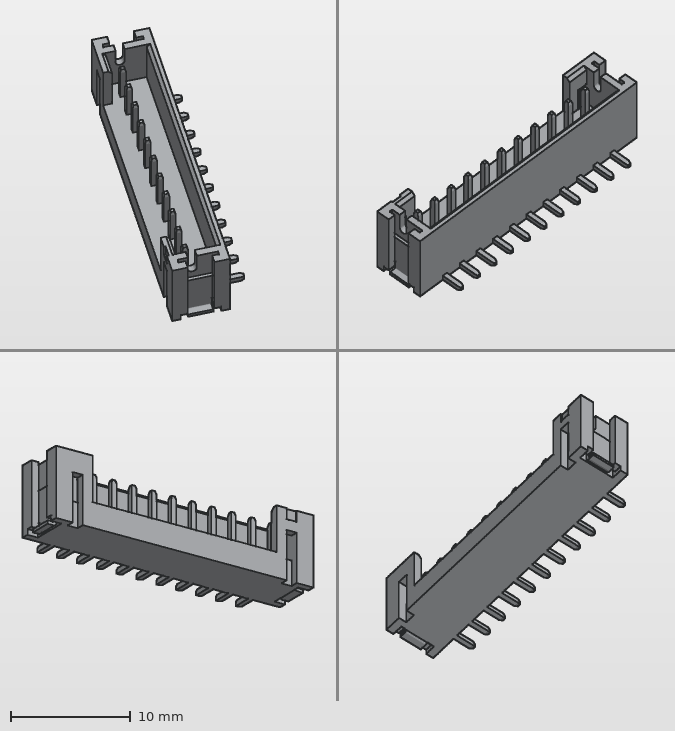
import cadquery as cq


length = 25.95
depth = 5.0
height = 6.6

end_wall = 1.69
front_wall = 0.78
back_wall = 0.7
floor_z = 2.34
lip_chamfer = 0.3
cavity_half_length = length / 2 - end_wall

window_half_length = 9.26
slot_width = 1.0
slot_height = 4.6
mark_height = 1.0
mark_depth = 0.15

notch_width = 0.78
notch_bottom_z = 4.67
notch_y = 2.02

plate_thickness = 0.3
plate_inset = 0.73
plate_width = 3.5
channel_width = 2.3
relief_height = 0.52

plate_top_z = 3.97
tongue_width = 2.2
tongue_height = 1.05
foot_inset = 0.1
bend_radius = 0.08

pin_count = 11
pin_row_length = 20.0
pin_pitch = pin_row_length / (pin_count - 1)
pin_side = 0.5
post_y = 1.87
post_top_z = 5.79
tail_end_y = 7.0
tip_length = 0.3
tip_side = 0.3


def box(x_min, x_max, y_min, y_max, z_min, z_max):
    """Block between two opposite corners."""
    size = (x_max - x_min, y_max - y_min, z_max - z_min)
    return cq.Workplane("XY").box(*size, centered=False).translate((x_min, y_min, z_min))


def centred_box(x_min, x_max, width, z_min, z_max):
    """Block of a given width in Y, centred across the depth of the housing."""
    return box(x_min, x_max, (depth - width) / 2, (depth + width) / 2, z_min, z_max)


def both_ends(left_shape):
    """A shape at the -X end together with its mirror image at the +X end."""
    return [left_shape, left_shape.mirror("YZ")]


def make_shell():
    """Block with the chamfered cavity and the wide front window."""
    shell = box(-length / 2, length / 2, 0, depth, 0, height)
    cavity_y_max = depth - back_wall
    chamfer_z = height - lip_chamfer
    cavity = (
        cq.Workplane("YZ", origin=(-cavity_half_length, 0, 0))
        .moveTo(front_wall, floor_z)
        .lineTo(cavity_y_max, floor_z)
        .lineTo(cavity_y_max, chamfer_z)
        .lineTo(cavity_y_max + lip_chamfer, height)
        .lineTo(front_wall - lip_chamfer, height)
        .lineTo(front_wall, chamfer_z)
        .close()
        .extrude(2 * cavity_half_length)
    )
    window = box(-window_half_length, window_half_length, 0, front_wall, floor_z, height)
    return shell.cut(cavity).cut(window)


def make_front_slot():
    """Slot up the front wall from the underside, next to the end wall."""
    x_min = -cavity_half_length
    return box(x_min, x_min + slot_width, 0, front_wall, 0, slot_height)


def make_finger_notch():
    """U-shaped notch through the end wall between the tab pocket and the cavity."""
    radius = notch_width / 2
    return (
        cq.Workplane("YZ", origin=(plate_inset - length / 2, 0, 0))
        .moveTo(notch_y - radius, height)
        .lineTo(notch_y - radius, notch_bottom_z + radius)
        .threePointArc((notch_y, notch_bottom_z), (notch_y + radius, notch_bottom_z + radius))
        .lineTo(notch_y + radius, height)
        .close()
        .extrude(end_wall - plate_inset)
    )


def make_tab_pocket():
    """Full-height pocket for the plate, its open channel, and the relief below for the foot."""
    x_end = -length / 2
    x_plate = x_end + plate_inset
    pocket = centred_box(x_plate, x_plate + plate_thickness, plate_width, 0, height)
    channel = centred_box(x_end, x_plate, channel_width, 0, height)
    relief = centred_box(x_end, x_plate, plate_width, 0, relief_height)
    return pocket.union(channel).union(relief)


def make_polarity_mark():
    """Shallow recess at the top of the front face, above the +X slot."""
    x_max = cavity_half_length
    return box(x_max - slot_width, x_max, 0, mark_depth, height - mark_height, height)


def make_tapered_bar(bar_length):
    """Square bar standing along Z, ending in a tapered tip."""
    straight = bar_length - tip_length
    bar = cq.Workplane("XY").rect(pin_side, pin_side).extrude(straight)
    tip = (
        cq.Workplane("XY", origin=(0, 0, straight))
        .rect(pin_side, pin_side)
        .workplane(offset=tip_length)
        .rect(tip_side, tip_side)
        .loft(combine=True)
    )
    return bar.union(tip)


def make_pin(x):
    """Contact post rising from the cavity floor and its tail leaving the back at the bottom."""
    root = floor_z / 2
    post = make_tapered_bar(post_top_z - root).translate((x, post_y, root))
    tail = (
        make_tapered_bar(tail_end_y - post_y)
        .rotate((0, 0, 0), (1, 0, 0), -90)
        .translate((x, post_y, pin_side / 2))
    )
    return post, tail


def make_housing():
    """Shell with all end and front openings, and the pins in one piece with it."""
    body = make_shell()
    for make_opening in (make_front_slot, make_finger_notch, make_tab_pocket):
        for opening in both_ends(make_opening()):
            body = body.cut(opening)
    body = body.cut(make_polarity_mark())
    for index in range(pin_count):
        x = index * pin_pitch - pin_row_length / 2
        for bar in make_pin(x):
            body = body.union(bar)
    return body


def make_solder_tab():
    """Plate in the -X pocket whose narrower tongue bends outwards into a flat foot."""
    x_outer = plate_inset - length / 2
    x_inner = x_outer + plate_thickness
    x_tip = foot_inset - length / 2
    outer_radius = bend_radius + plate_thickness
    plate = centred_box(x_outer, x_inner, plate_width, tongue_height, plate_top_z)
    tongue = (
        cq.Workplane("XZ", origin=(0, (depth - tongue_width) / 2, 0))
        .moveTo(x_tip, 0)
        .lineTo(x_inner - outer_radius, 0)
        .tangentArcPoint((x_inner, outer_radius), relative=False)
        .lineTo(x_inner, tongue_height)
        .lineTo(x_outer, tongue_height)
        .lineTo(x_outer, outer_radius)
        .tangentArcPoint((x_outer - bend_radius, plate_thickness), relative=False)
        .lineTo(x_tip, plate_thickness)
        .close()
        .extrude(-tongue_width)
    )
    return plate.union(tongue)


housing = make_housing()
solder_tabs = both_ends(make_solder_tab())

result = cq.Compound.makeCompound([housing.val(), *[tab.val() for tab in solder_tabs]])